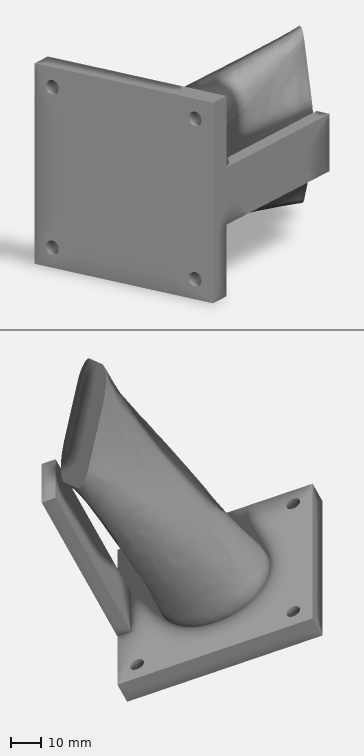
import cadquery as cq
import math

plate_size = 70.0
plate_thickness = 8.0
hole_diameter = 5.0
hole_spacing = 56.0

strip_thickness = 5.0
strip_end_y = 70.0
strip_height = 20.0

neck_radius = 20.0
base_side_start = 22
base_side_end = 45
overall_depth = 102.3
end_tilt = 45
end_radius = 20.5
end_center_x = 12.3
end_center_y = overall_depth - end_radius * math.sin(math.radians(end_tilt))

middle_sections = [
    (4.0, 33.7, 15, 16.3, 22.8, 14.1),
    (7.2, 54.4, 29, 15.1, 25.6, 11.8),
    (9.5, 69.3, 36, 16.3, 27.6, 9.6),
]
end_section = (end_center_x, end_center_y, end_tilt, end_radius, 30.6, 6.3)


def section_plane(center_x, center_y, tilt):
    """Plane with local y along Z; tilt turns its local x from +X toward -Y."""
    angle = math.radians(tilt)
    return cq.Plane(
        origin=(center_x, center_y, 0),
        xDir=(math.cos(angle), -math.sin(angle), 0),
        normal=(-math.sin(angle), -math.cos(angle), 0),
    )


def section_wire(plane, radius, half_height, corner_radius, round_sides=False):
    """Central circle joined by tangent sides to a smaller circle above and below."""
    corner_z = half_height - corner_radius
    if round_sides:
        tangent = math.radians(base_side_start)
    else:
        tangent = math.asin((radius - corner_radius) / corner_z)
    side_x = radius * math.cos(tangent)
    side_z = radius * math.sin(tangent)
    if round_sides:
        corner_angle = math.radians(base_side_end)
    else:
        corner_angle = tangent
    top_x = corner_radius * math.cos(corner_angle)
    top_z = corner_z + corner_radius * math.sin(corner_angle)
    middle_angle = (tangent + corner_angle) / 2
    mid_x = radius * math.cos(middle_angle)
    mid_z = radius * math.sin(middle_angle)

    def side(sketch, x_sign, z_sign, end):
        if round_sides:
            return sketch.threePointArc((x_sign * mid_x, z_sign * mid_z), end)
        return sketch.lineTo(*end)

    sketch = cq.Workplane(plane).moveTo(side_x, -side_z)
    sketch = sketch.threePointArc((radius, 0), (side_x, side_z))
    sketch = side(sketch, 1, 1, (top_x, top_z))
    sketch = sketch.threePointArc((0, half_height), (-top_x, top_z))
    sketch = side(sketch, -1, 1, (-side_x, side_z))
    sketch = sketch.threePointArc((-radius, 0), (-side_x, -side_z))
    sketch = side(sketch, -1, -1, (-top_x, -top_z))
    sketch = sketch.threePointArc((0, -half_height), (top_x, -top_z))
    sketch = side(sketch, 1, -1, (side_x, -side_z))
    return sketch.wire().val()


def make_plate():
    back = cq.Workplane("XZ", origin=(0, plate_thickness, 0))
    plate = back.rect(plate_size, plate_size).extrude(plate_thickness)
    holes = (
        back.rect(hole_spacing, hole_spacing, forConstruction=True)
        .vertices()
        .circle(hole_diameter / 2)
        .extrude(plate_thickness)
    )
    return plate.cut(holes)


def make_strip():
    return (
        cq.Workplane("XY")
        .box(strip_thickness, strip_end_y, strip_height, centered=(False, False, True))
        .translate((plate_size / 2 - strip_thickness, 0, 0))
    )


def make_neck():
    base_plane = section_plane(0, plate_thickness, 0)
    wires = [section_wire(base_plane, neck_radius, neck_radius, neck_radius, round_sides=True)]
    for x, y, tilt, radius, half_height, corner_radius in middle_sections + [end_section]:
        plane = section_plane(x, y, tilt)
        wires.append(section_wire(plane, radius, half_height, corner_radius))
    return cq.Workplane(cq.Solid.makeLoft(wires))


result = make_plate().union(make_strip()).union(make_neck())